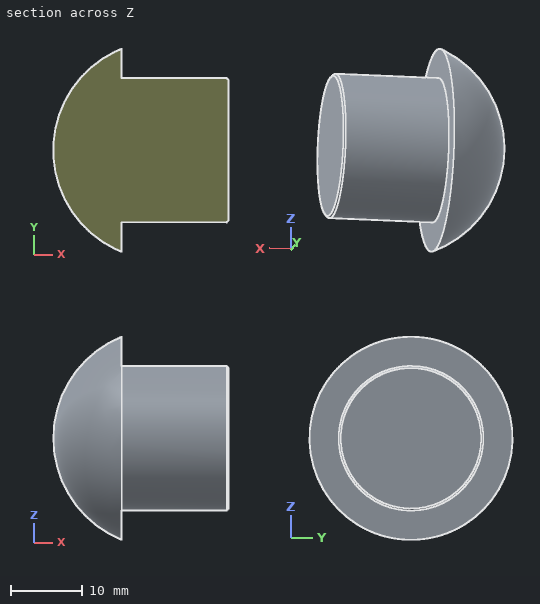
import cadquery as cq

head_diameter = 28.5
head_height = 9.61
shank_diameter = 20.3
shank_length = 15.0
shank_chamfer = 0.3

head_radius = head_diameter / 2
sphere_radius = (head_radius**2 + head_height**2) / (2 * head_height)
sphere_center_x = sphere_radius - head_height


def make_head():
    """Spherical cap bulging toward -X: the part of a ball in front of X = 0."""
    ball = cq.Workplane("XY").sphere(sphere_radius).translate((sphere_center_x, 0, 0))
    front_half_space = cq.Workplane("YZ").rect(2 * head_diameter, 2 * head_diameter).extrude(-head_diameter)
    return ball.intersect(front_half_space)


def make_shank():
    """Plain cylinder toward +X with a small chamfer around its free end."""
    return (
        cq.Workplane("YZ")
        .circle(shank_diameter / 2)
        .extrude(shank_length)
        .faces(">X")
        .edges()
        .chamfer(shank_chamfer)
    )


result = make_head().union(make_shank())